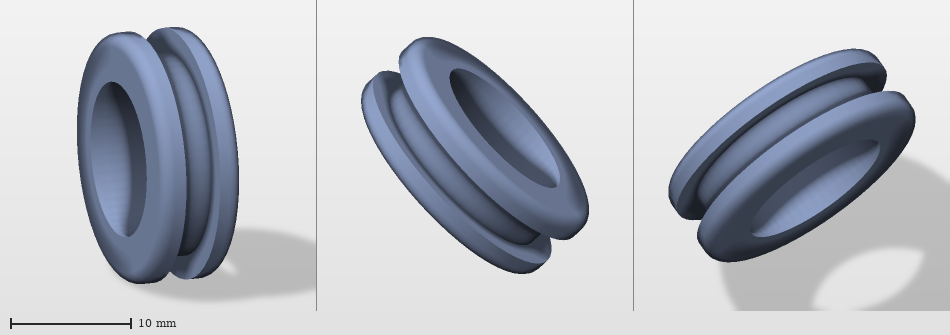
import cadquery as cq

outer_diameter = 21.0
bore_diameter = 13.0
groove_diameter = 17.0
total_width = 7.0
groove_width = 3.0
rim_radius = 1.0


def disc(diameter, width):
    """Solid disc about the Y axis, centred on the origin."""
    front_face = cq.Workplane("XZ", origin=(0, -width / 2, 0))
    return front_face.circle(diameter / 2).extrude(-width)


body = disc(outer_diameter, total_width).edges("%CIRCLE").fillet(rim_radius)

groove = disc(outer_diameter, groove_width).cut(disc(groove_diameter, groove_width))

bore = disc(bore_diameter, total_width)

result = body.cut(groove).cut(bore)